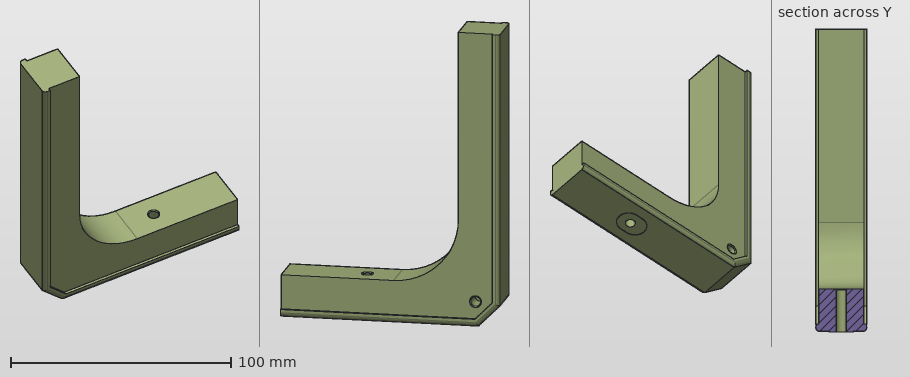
import cadquery as cq
import math

width = 23.3
depth = 101.6
height = 137.6

pad_height = 0.3
bottom = pad_height
arm_thickness = 19.4
arm_top = bottom + arm_thickness
corner_chamfer = 10.0
corner_half_turn = 22.5
inner_radius = 30.0

lip_thickness = 3.5
lip_overhang = 1.4
lip_round = 1.9
web_width = width - 2 * lip_overhang

hole_diameter = 4.5
countersink_diameter = 5.5
countersink_depth = (countersink_diameter - hole_diameter) / 2
arm_hole_y = 63.6
side_hole_y = 11.4
side_hole_z = bottom + side_hole_y
side_hole_depth = 10.0

pad_width = 11.0
pad_length = 14.7
pad_y = 62.8


def make_web():
    """L-shaped body with a chamfered outer corner and a rounded inner corner."""
    return (
        cq.Workplane("YZ")
        .moveTo(corner_chamfer, bottom)
        .lineTo(depth, bottom)
        .lineTo(depth, arm_top)
        .lineTo(arm_thickness + inner_radius, arm_top)
        .radiusArc((arm_thickness, arm_top + inner_radius), inner_radius)
        .lineTo(arm_thickness, height)
        .lineTo(0, height)
        .lineTo(0, bottom + corner_chamfer)
        .close()
        .extrude(web_width / 2, both=True)
    )


def make_lip():
    """Band of even thickness along the outer faces, rounded on its outer edges."""
    inner_turn = corner_chamfer + lip_thickness * math.tan(math.radians(corner_half_turn))
    lip = (
        cq.Workplane("YZ")
        .moveTo(corner_chamfer, bottom)
        .lineTo(depth, bottom)
        .lineTo(depth, bottom + lip_thickness)
        .lineTo(inner_turn, bottom + lip_thickness)
        .lineTo(lip_thickness, bottom + inner_turn)
        .lineTo(lip_thickness, height)
        .lineTo(0, height)
        .lineTo(0, bottom + corner_chamfer)
        .close()
        .extrude(width / 2, both=True)
    )
    outer_faces = lip.faces("<Y or <Z or <(0, 1, 1)")
    return outer_faces.edges("<X or >X").fillet(lip_round)


def make_pad():
    """Oblong pad below the lower arm, reaching into it to join solidly."""
    return (
        cq.Workplane("XY")
        .center(0, pad_y)
        .slot2D(pad_length, pad_width, 90)
        .extrude(pad_height + lip_thickness)
    )


def make_hole(start, direction, length):
    """Drill with a countersink, going from the surface point along direction."""
    origin = cq.Vector(*start)
    axis = cq.Vector(*direction)
    drill = cq.Solid.makeCylinder(hole_diameter / 2, length, origin, axis)
    countersink = cq.Solid.makeCone(
        countersink_diameter / 2, hole_diameter / 2, countersink_depth, origin, axis
    )
    return cq.Workplane(drill.fuse(countersink))


arm_hole = make_hole((0, arm_hole_y, arm_top), (0, 0, -1), arm_top)
side_hole = make_hole((-web_width / 2, side_hole_y, side_hole_z), (1, 0, 0), side_hole_depth)

result = make_web().union(make_lip()).union(make_pad()).cut(arm_hole).cut(side_hole)